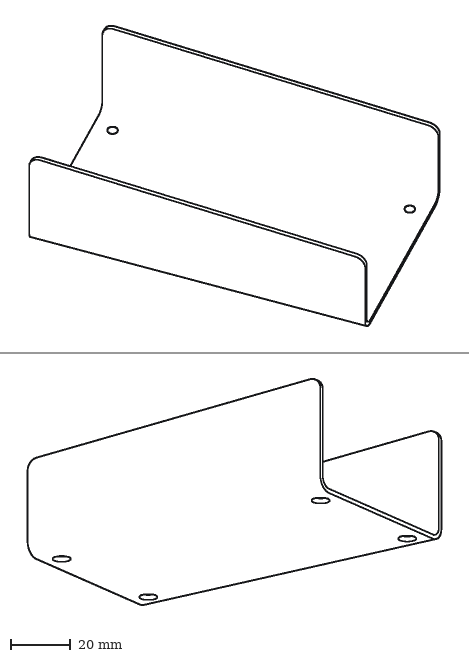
import math

import cadquery as cq

length = 121.0
width = 70.0
thickness = 1.5
bend_outer_radius = 5.0
bend_inner_radius = bend_outer_radius - thickness

wall_height_left = 40.0
slope_angle = 3.0
wall_height_right = wall_height_left - length * math.tan(math.radians(slope_angle))
corner_radius = 4.0

hole_diameter = 3.5
countersink_depth = 1.3
countersink_diameter = hole_diameter + 2 * countersink_depth
hole_spacing_x = 107.0
hole_spacing_y = 50.0


def make_channel():
    """Bent U-shaped sheet, open at the top and at both X ends."""
    outer = (
        cq.Workplane("XY")
        .box(length, width, wall_height_left, centered=(True, True, False))
        .edges("|X and <Z")
        .fillet(bend_outer_radius)
    )
    inner = (
        cq.Workplane("XY")
        .workplane(offset=thickness)
        .box(length, width - 2 * thickness, wall_height_left, centered=(True, True, False))
        .edges("|X and <Z")
        .fillet(bend_inner_radius)
    )
    return outer.cut(inner)


def make_wall_profile():
    """Block with the side outline of the walls: sloped top, rounded upper corners."""
    half_length = length / 2
    return (
        cq.Workplane("XZ")
        .moveTo(-half_length, 0)
        .lineTo(half_length, 0)
        .lineTo(half_length, wall_height_right)
        .lineTo(-half_length, wall_height_left)
        .close()
        .extrude(width / 2, both=True)
        .edges("|Y and (not <Z)")
        .fillet(corner_radius)
    )


def make_holes():
    """Four cutters for holes countersunk from the underside, in a rectangular pattern."""
    through_hole = cq.Solid.makeCylinder(hole_diameter / 2, thickness)
    countersink = cq.Solid.makeCone(countersink_diameter / 2, hole_diameter / 2, countersink_depth)
    cutter = through_hole.fuse(countersink)
    return (
        cq.Workplane("XY")
        .rect(hole_spacing_x, hole_spacing_y, forConstruction=True)
        .vertices()
        .eachpoint(lambda place: cutter.moved(place))
    )


result = make_channel().intersect(make_wall_profile()).cut(make_holes())